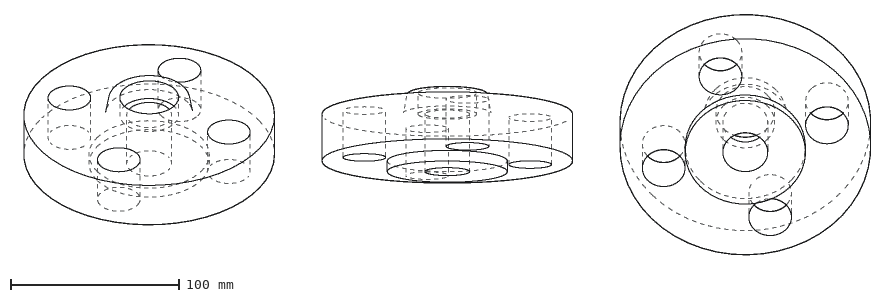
import cadquery as cq
import math

flange_diameter = 149.3
flange_thickness = 28.4
raised_face_diameter = 71.5
raised_face_height = 6.4

hub_base_diameter = 52.3
hub_height = 12.7
hub_taper_angle = 10.0
hub_fillet_radius = 1.5

bore_diameter = 26.7
socket_diameter = 35.0
socket_depth = 12.7

bolt_hole_count = 4
bolt_hole_diameter = 25.4
bolt_circle_diameter = 101.5

flange_top = raised_face_height + flange_thickness
hub_top = flange_top + hub_height
hub_base_radius = hub_base_diameter / 2
hub_top_radius = hub_base_radius - hub_height * math.tan(math.radians(hub_taper_angle))


def cylinder(diameter, bottom, height):
    """Upright cylinder on the Z axis."""
    return cq.Workplane("XY").workplane(offset=bottom).circle(diameter / 2).extrude(height)


def make_hub():
    """Solid truncated cone standing on the top of the disc."""
    cone = cq.Solid.makeCone(
        hub_base_radius,
        hub_top_radius,
        hub_height,
        pnt=cq.Vector(0, 0, flange_top),
    )
    return cq.Workplane(obj=cone)


def make_body():
    """Raised face, disc and hub joined, with the hub's root and rim rounded."""
    raised_face = cylinder(raised_face_diameter, 0, raised_face_height)
    disc = cylinder(flange_diameter, raised_face_height, flange_thickness)
    body = raised_face.union(disc).union(make_hub())
    body = body.faces(">Z").edges().fillet(hub_fillet_radius)
    disc_top = body.faces("|Z").faces(">Z[-2]")
    smallest_circle = cq.selectors.RadiusNthSelector(0)
    return disc_top.edges(smallest_circle).fillet(hub_fillet_radius)


def make_bolt_holes():
    """Through-holes for the bolts, the first one on +X."""
    return (
        cq.Workplane("XY")
        .workplane(offset=raised_face_height)
        .polarArray(bolt_circle_diameter / 2, 0, 360, bolt_hole_count)
        .circle(bolt_hole_diameter / 2)
        .extrude(flange_thickness)
    )


bore = cylinder(bore_diameter, 0, hub_top)
socket = cylinder(socket_diameter, hub_top - socket_depth, socket_depth)

result = make_body().cut(bore).cut(socket).cut(make_bolt_holes())